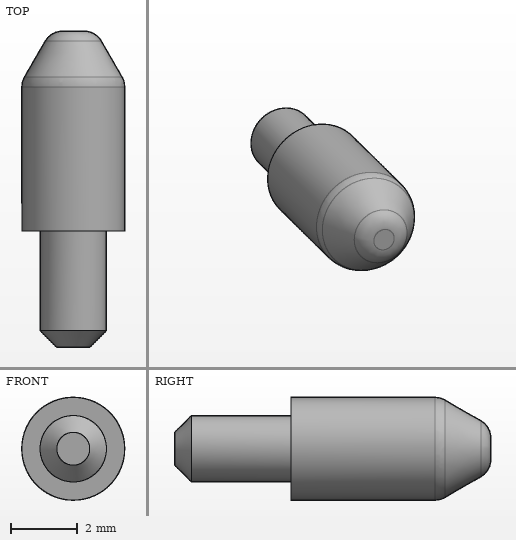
import cadquery as cq
import math

total_length = 9.5
shank_length = 3.5
head_length = total_length - shank_length
head_radius = 1.55
shank_radius = 1.0
shank_chamfer = 0.5

taper_half_angle = 30.0
nose_length = 1.52
nose_round = 0.6
nose_radius = head_radius - nose_length * math.tan(math.radians(taper_half_angle))


def make_head():
    """Cylinder with a tapered, rounded nose at its +Y end."""
    profile = (
        cq.Workplane("XY")
        .polyline([
            (0, 0),
            (head_radius, 0),
            (head_radius, head_length - nose_length),
            (nose_radius, head_length),
            (0, head_length),
        ])
        .close()
    )
    head = profile.revolve(360, (0, 0, 0), (0, 1, 0))
    nose_edges = head.edges("%CIRCLE").edges("not <Y")
    return nose_edges.fillet(nose_round)


def make_shank():
    """Plain pin seated against the shoulder, chamfered at its free -Y end."""
    shank = cq.Workplane("XZ").circle(shank_radius).extrude(shank_length)
    return shank.faces("<Y").chamfer(shank_chamfer)


head = make_head()
shank = make_shank()

result = cq.Compound.makeCompound([head.val(), shank.val()])